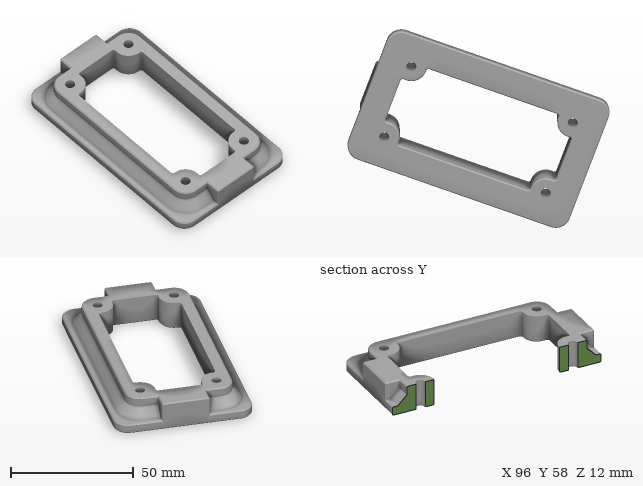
import cadquery as cq

length = 96.0
width = 58.0
base_height = 4.0
base_corner_radius = 6.0

total_height = 12.0
frame_length = 82.9
frame_width = 44.9
frame_corner_radius = 6.2
skirt_rise = 4.0

ear_width = 20.1

window_length = 74.1
window_width = 34.8
window_corner_radius = 1.0
post_radius = 6.3
hole_diameter = 4.1
hole_spacing_x = 70.1
hole_spacing_y = 32.1

edge_break = 0.5

foot_bottom = base_height / 2


def rounded_block(size_x, size_y, corner_radius, bottom, height):
    """Centred block with rounded vertical corners."""
    block = cq.Workplane("XY").workplane(offset=bottom).rect(size_x, size_y).extrude(height)
    return block.edges("|Z").fillet(corner_radius)


def make_skirt():
    """Slope that narrows at 45 degrees from the base up to the frame wall."""
    foot = rounded_block(
        frame_length + 2 * skirt_rise,
        frame_width + 2 * skirt_rise,
        frame_corner_radius + skirt_rise,
        foot_bottom,
        base_height + skirt_rise - foot_bottom,
    )
    return foot.faces(">Z").chamfer(skirt_rise)


def make_window():
    """Through window with its four corners taken up by the screw posts."""
    window = cq.Workplane("XY").rect(window_length, window_width).extrude(total_height)
    posts = (
        cq.Workplane("XY")
        .rect(hole_spacing_x, hole_spacing_y, forConstruction=True)
        .vertices()
        .circle(post_radius)
        .extrude(total_height)
    )
    return window.cut(posts).edges("|Z").fillet(window_corner_radius)


def make_holes():
    """Through holes for the screws, centred on the posts."""
    return (
        cq.Workplane("XY")
        .rect(hole_spacing_x, hole_spacing_y, forConstruction=True)
        .vertices()
        .circle(hole_diameter / 2)
        .extrude(total_height)
    )


base = rounded_block(length, width, base_corner_radius, 0, base_height)
base = base.faces(">Z").edges().chamfer(edge_break)

frame_height = total_height - foot_bottom
frame = rounded_block(frame_length, frame_width, frame_corner_radius, foot_bottom, frame_height)

ears = cq.Workplane("XY").workplane(offset=foot_bottom).rect(length, ear_width)
ears = ears.extrude(frame_height)
ears = ears.edges("|Z").chamfer(edge_break)

upper = frame.union(ears)
upper = upper.faces(">Z").edges().chamfer(edge_break)

body = base.union(make_skirt()).union(upper).cut(make_window())
body = body.faces("<Z").edges().chamfer(edge_break)
result = body.cut(make_holes())